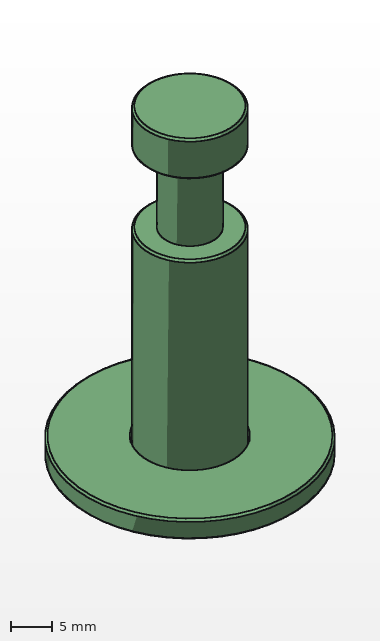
import cadquery as cq

edge_chamfer = 0.3

total_height = 52.0

disc_diameter = 35.0
disc_thickness = 3.0

post_diameter = 14.0
neck_diameter = 8.0
head_height = 6.0
neck_height = 12.0

recess_clearance = 0.25
recess_diameter = post_diameter + 2 * recess_clearance
recess_depth = disc_thickness / 2

post_base = disc_thickness - recess_depth
head_base = total_height - head_height
neck_base = head_base - neck_height


def make_cylinder(diameter, bottom, top):
    """Upright cylinder on the Z axis between two levels."""
    return cq.Workplane("XY").workplane(offset=bottom).circle(diameter / 2).extrude(top - bottom)


def make_disc():
    """Base disc with chamfered rims and a blind recess for the foot of the post."""
    disc = make_cylinder(disc_diameter, 0, disc_thickness)
    disc = disc.faces("<Z or >Z").edges().chamfer(edge_chamfer)
    recess = make_cylinder(recess_diameter, post_base, disc_thickness)
    return disc.cut(recess)


def make_post():
    """Post standing on the recess floor: chamfered shank, neck and chamfered head."""
    shank = make_cylinder(post_diameter, post_base, neck_base)
    shank = shank.faces(">Z").edges().chamfer(edge_chamfer)
    neck = make_cylinder(neck_diameter, neck_base, head_base)
    head = make_cylinder(post_diameter, head_base, total_height)
    head = head.faces("<Z or >Z").edges().chamfer(edge_chamfer)
    return shank.union(neck).union(head)


disc = make_disc()
post = make_post()

result = cq.Compound.makeCompound([disc.val(), post.val()])